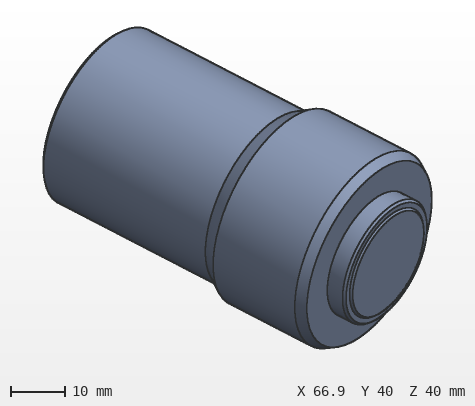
import cadquery as cq

total_length = 66.9

body_radius = 18.0
body_end = 38.2
body_chamfer = 0.55

head_radius = 20.0
head_start = 41.55
head_end = 62.5
head_chamfer_length = 1.95
head_chamfer_depth = 1.15

spigot_radius = 12.7
spigot_end = 66.5
spigot_chamfer = 0.5

tip_radius = 11.2
tip_chamfer = total_length - spigot_end

half_section = [
    (0, 0),
    (0, body_radius - body_chamfer),
    (body_chamfer, body_radius),
    (body_end, body_radius),
    (head_start, head_radius),
    (head_end - head_chamfer_length, head_radius),
    (head_end, head_radius - head_chamfer_depth),
    (head_end, spigot_radius),
    (spigot_end - spigot_chamfer, spigot_radius),
    (spigot_end, spigot_radius - spigot_chamfer),
    (spigot_end, tip_radius),
    (total_length, tip_radius - tip_chamfer),
    (total_length, 0),
]

result = (
    cq.Workplane("XY")
    .polyline(half_section)
    .close()
    .revolve(360, (0, 0, 0), (1, 0, 0))
)